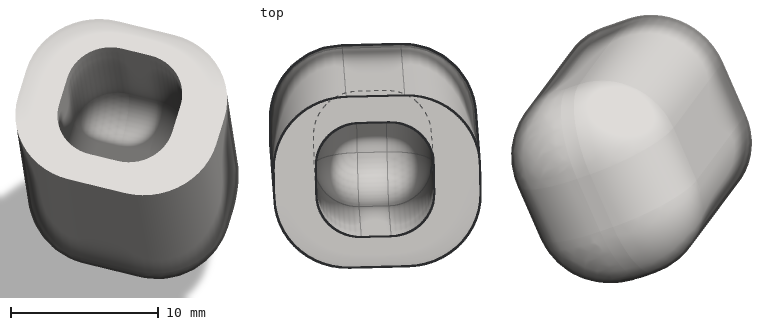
import cadquery as cq

body_width = 14.0
body_depth = 12.0
body_length = 18.82
edge_radius = 5.0
back_end_radius = 6.0

bore_size = 8.0
bore_length = 11.0
bore_radius = 2.99
bore_offset_x = -0.15
bore_offset_y = 0.15

tilt_about_x = 14.9
tilt_about_y = 0.8
turn_about_z = 1.4


def block(width, depth, length):
    """Box centred on the axis, hanging down from the open end at Z = 0."""
    box = cq.Workplane("XY").box(width, depth, length, centered=(True, True, False))
    return box.translate((0, 0, -length))


def outer_body():
    """Block with a fully rounded lower end; its top face stays flat."""
    body = block(body_width, body_depth, body_length)
    body = body.edges(">Y and <Z").fillet(back_end_radius)
    return body.edges("not >Z").edges("(>X or <X) or (<Y and <Z)").fillet(edge_radius)


def bore():
    """Square bore with rounded corners and a rounded floor."""
    cutter = block(bore_size, bore_size, bore_length).edges("|Z or <Z").fillet(bore_radius)
    return cutter.translate((bore_offset_x, bore_offset_y, 0))


result = (
    outer_body()
    .cut(bore())
    .rotate((0, 0, 0), (1, 0, 0), tilt_about_x)
    .rotate((0, 0, 0), (0, 1, 0), tilt_about_y)
    .rotate((0, 0, 0), (0, 0, 1), turn_about_z)
)